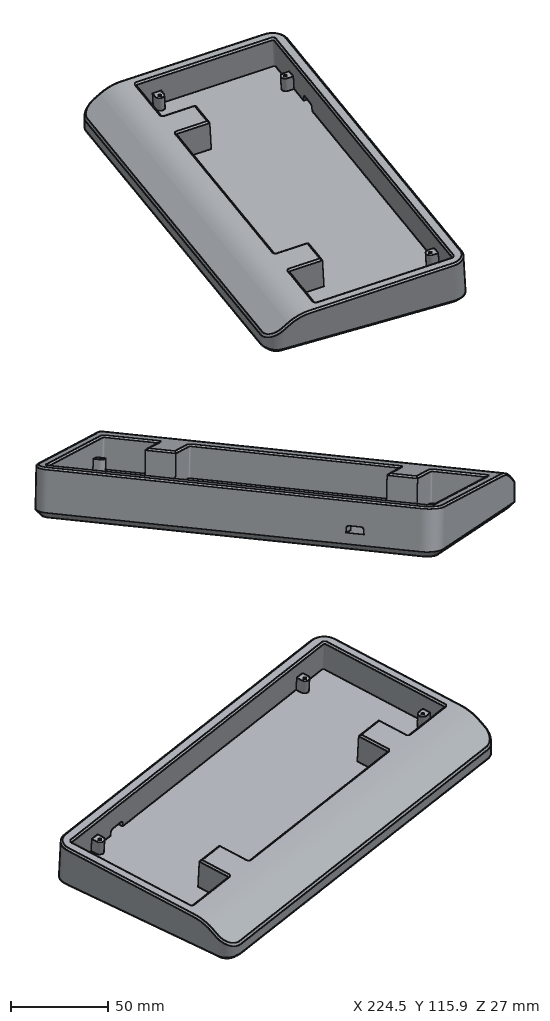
import cadquery as cq
import math


WIDTH = 224.5
DEPTH = 115.9
HEIGHT = 27.0
TILT = 3.0
CORNER_RADIUS = 9.0
BASE_CHAMFER = 3.4
RIM_CHAMFER = 1.0

REST_SLOPE = 33.7
REST_TOP_Y = 17.3
BEND_RADIUS = 23.5

SIDE_MARGIN = 5.5
MOUTH_FRONT_Y = 28.7
MOUTH_BACK_Y = 109.1
MOUTH_CHAMFER = RIM_CHAMFER
POCKET_DEPTH = 17.7
POCKET_CORNER_RADIUS = 0.79

TAB_X = 45.5
TAB_TOP_WIDTH = 14.8
TAB_REACH = 19.0

POST_DIAMETER = 5.0
POST_HEIGHT = 8.0
POST_OFFSET = 3.4
SCREW_HOLE_DIAMETER = 1.6
BACK_POST_X = 26.5
SIDE_POST_Y = 41.0

CABLE_X = 45.4
CABLE_WIDTH = 9.9
CABLE_HEIGHT = 3.8
CABLE_CORNER_RADIUS = 1.8

OVERLAP = 0.5
STEEP = 0.5

tilt = math.radians(TILT)
apex_z = HEIGHT + RIM_CHAMFER * math.sin(tilt)
base_depth = DEPTH + BASE_CHAMFER * math.tan(tilt)
apex_y = base_depth - apex_z * math.tan(tilt)
wall_left = SIDE_MARGIN + MOUTH_CHAMFER
wall_right = WIDTH - wall_left
wall_front = MOUTH_FRONT_Y + MOUTH_CHAMFER
wall_back = MOUTH_BACK_Y - MOUTH_CHAMFER
post_radius = POST_DIAMETER / 2


def top_z(y):
    """Height of the tilted top face at depth y."""
    return apex_z - (apex_y - y) * math.tan(tilt)


def pocket_floor():
    """Plane of the pocket floor, parallel to the top face, with local Y running up the slope."""
    normal = (0, -math.sin(tilt), math.cos(tilt))
    top_plane = cq.Plane(origin=(0, 0, top_z(0)), xDir=(1, 0, 0), normal=normal)
    return cq.Workplane(top_plane).workplane(offset=-POCKET_DEPTH)


def floor_block(x_range, y_range, height):
    """Block on the pocket floor spanning two corners in floor coordinates."""
    x_min, x_max = sorted(x_range)
    y_min, y_max = sorted(y_range)
    footprint = pocket_floor().center((x_min + x_max) / 2, (y_min + y_max) / 2)
    return footprint.rect(x_max - x_min, y_max - y_min).extrude(height)


def outer_body():
    rest_top_z = top_z(REST_TOP_Y)
    front_z = rest_top_z - REST_TOP_Y * math.tan(math.radians(REST_SLOPE))
    profile = [(0, 0), (base_depth, 0), (apex_y, apex_z), (REST_TOP_Y, rest_top_z), (0, front_z)]
    body = cq.Workplane("YZ").polyline(profile).close().extrude(WIDTH)

    bend_edge = cq.NearestToPointSelector((WIDTH / 2, REST_TOP_Y, rest_top_z))
    body = body.edges(bend_edge).fillet(BEND_RADIUS)
    body = body.faces("<Y or >Y").edges("not |X").fillet(CORNER_RADIUS)
    body = body.faces("<Z").edges().chamfer(BASE_CHAMFER)

    upper_faces = [face for face in body.faces().vals() if face.normalAt().z > STEEP]
    edges = [edge for face in upper_faces for edge in face.Edges()]
    rim = [edge for edge in edges if sum(edge.isSame(other) for other in edges) == 1]
    return body.newObject(rim).chamfer(RIM_CHAMFER)


def pocket():
    cavity = floor_block((wall_left, wall_right), (wall_front, wall_back), POCKET_DEPTH)
    half_width = TAB_TOP_WIDTH / 2 + MOUTH_CHAMFER
    tab_end = MOUTH_FRONT_Y + TAB_REACH + MOUTH_CHAMFER
    for x in (TAB_X, WIDTH - TAB_X):
        tab = floor_block((x - half_width, x + half_width), (0, tab_end), POCKET_DEPTH)
        cavity = cavity.cut(tab)

    corners = []
    for edge in cavity.edges("not |X").vals():
        y = edge.Center().y
        is_upright = abs(edge.tangentAt(0).z) > STEEP
        is_near_wall = min(y - wall_front, wall_back - y) < TAB_REACH / 2
        if is_upright and is_near_wall:
            corners.append(edge)
    return cavity.newObject(corners).fillet(POCKET_CORNER_RADIUS)


def chamfer_mouth(body):
    """Chamfer the loop where the pocket breaks through the top face."""
    pierced_faces = [face for face in body.faces("%PLANE").vals() if face.innerWires()]
    mouth = pierced_faces[0].innerWires()[0]
    return body.newObject(mouth.Edges()).chamfer(MOUTH_CHAMFER)


def add_post(body, x, y, web_x_range, web_y_range):
    """Round post joined to the wall by a web of the same width, with a screw hole down its axis."""
    axis = pocket_floor().center(x, y)
    post = axis.circle(post_radius).extrude(POST_HEIGHT)
    web = floor_block(web_x_range, web_y_range, POST_HEIGHT)
    hole = axis.circle(SCREW_HOLE_DIAMETER / 2).extrude(POST_HEIGHT)
    return body.union(post.union(web)).cut(hole)


def add_back_posts(body):
    y = wall_back - POST_OFFSET
    for x in (BACK_POST_X, WIDTH - BACK_POST_X):
        body = add_post(body, x, y, (x - post_radius, x + post_radius), (y, wall_back + OVERLAP))
    return body


def add_side_posts(body):
    web_y_range = (SIDE_POST_Y - post_radius, SIDE_POST_Y + post_radius)
    for wall_x, inward in ((wall_left, 1), (wall_right, -1)):
        x = wall_x + inward * POST_OFFSET
        body = add_post(body, x, SIDE_POST_Y, (x, wall_x - inward * OVERLAP), web_y_range)
    return body


def cable_opening():
    x_range = (CABLE_X - CABLE_WIDTH / 2, CABLE_X + CABLE_WIDTH / 2)
    opening = floor_block(x_range, (wall_back - OVERLAP, DEPTH + CORNER_RADIUS), CABLE_HEIGHT)
    local_up = cq.Vector(0, -math.sin(tilt), math.cos(tilt))
    upper_face = opening.faces(cq.DirectionMinMaxSelector(local_up))
    along_slope = cq.ParallelDirSelector(cq.Vector(0, math.cos(tilt), math.sin(tilt)))
    return upper_face.edges(along_slope).fillet(CABLE_CORNER_RADIUS)


result = chamfer_mouth(outer_body().cut(pocket()))
result = add_back_posts(result)
result = add_side_posts(result)
result = result.cut(cable_opening())